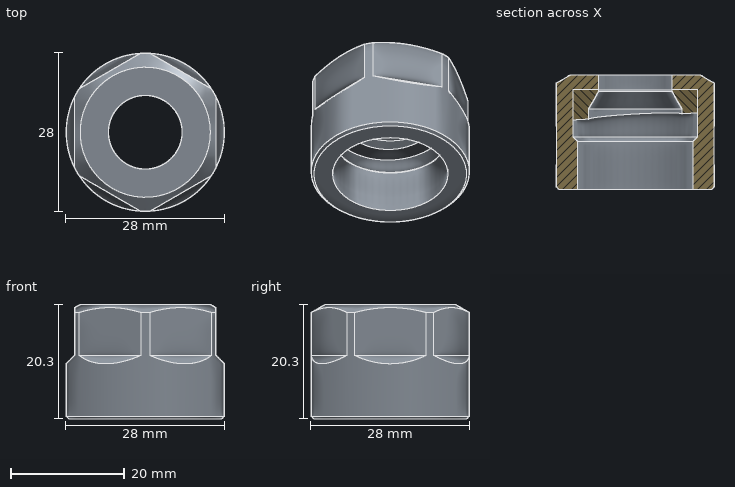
import cadquery as cq
import math

outer_radius = 14.0
height = 20.3
bottom_chamfer = 0.5

across_flats = 25.0
flat_bottom_z = 11.28
flat_count = 6
top_face_radius = 11.5
top_chamfer_angle = 30.0
flat_depth = outer_radius - across_flats / 2
flat_runout = flat_depth
cutter_margin = 1.4

bore_radius = 6.5
relief_radius = 11.0
thread_radius = 10.2
relief_bottom_z = 9.32
relief_taper = relief_radius - thread_radius

ring_top_z = 17.65
ring_center_bottom_z = 12.9
ring_land = 0.28
cone_bottom_z = 14.28
cone_bottom_radius = 8.25
lower_face_tilt = 4.6
lower_face_heading = -45.0


def revolve_profile(points):
    """Turn a closed (radius, z) outline about the Z axis."""
    return cq.Workplane("XZ").polyline(points).close().revolve(360, (0, 0), (0, 1))


def make_nut_blank():
    top_chamfer_drop = (outer_radius - top_face_radius) * math.tan(math.radians(top_chamfer_angle))
    return revolve_profile([
        (0, 0),
        (outer_radius - bottom_chamfer, 0),
        (outer_radius, bottom_chamfer),
        (outer_radius, height - top_chamfer_drop),
        (top_face_radius, height),
        (0, height),
    ])


def make_flat_cutter():
    """Prism that cuts the flat on the +X side and its sloped run-out."""
    inner_x = across_flats / 2
    outer_x = outer_radius + cutter_margin
    top_z = height + cutter_margin
    slope_drop = flat_runout * (outer_x - inner_x) / flat_depth
    return (
        cq.Workplane("XZ")
        .polyline([
            (inner_x, flat_bottom_z),
            (outer_x, flat_bottom_z - slope_drop),
            (outer_x, top_z),
            (inner_x, top_z),
        ])
        .close()
        .extrude(outer_radius, both=True)
    )


def make_housing_cavity():
    """Bore, ring seat, thread relief and thread hole, from bottom to top."""
    return revolve_profile([
        (0, 0),
        (thread_radius, 0),
        (thread_radius, relief_bottom_z - relief_taper),
        (relief_radius, relief_bottom_z),
        (relief_radius, ring_top_z),
        (bore_radius, ring_top_z),
        (bore_radius, height),
        (0, height),
    ])


def make_housing():
    housing = make_nut_blank()
    flat_cutter = make_flat_cutter()
    for index in range(flat_count):
        angle = index * 360 / flat_count
        housing = housing.cut(flat_cutter.rotate((0, 0, 0), (0, 0, 1), angle))
    return housing.cut(make_housing_cavity())


def make_lower_face_cutter():
    """Block below the slanted lower face, which drops along lower_face_heading."""
    width = 4 * relief_radius
    depth = ring_top_z
    return (
        cq.Workplane("XY")
        .box(width, width, depth, centered=(True, True, False))
        .translate((0, 0, -depth))
        .rotate((0, 0, 0), (0, 1, 0), lower_face_tilt)
        .rotate((0, 0, 0), (0, 0, 1), lower_face_heading)
        .translate((0, 0, ring_center_bottom_z))
    )


def make_extractor_ring():
    cone_top_z = ring_top_z - ring_land
    ring = revolve_profile([
        (cone_bottom_radius, relief_bottom_z),
        (relief_radius, relief_bottom_z),
        (relief_radius, ring_top_z),
        (bore_radius, ring_top_z),
        (bore_radius, cone_top_z),
        (cone_bottom_radius, cone_bottom_z),
    ])
    return ring.cut(make_lower_face_cutter())


housing = make_housing()
extractor_ring = make_extractor_ring()

result = cq.Compound.makeCompound([housing.val(), extractor_ring.val()])